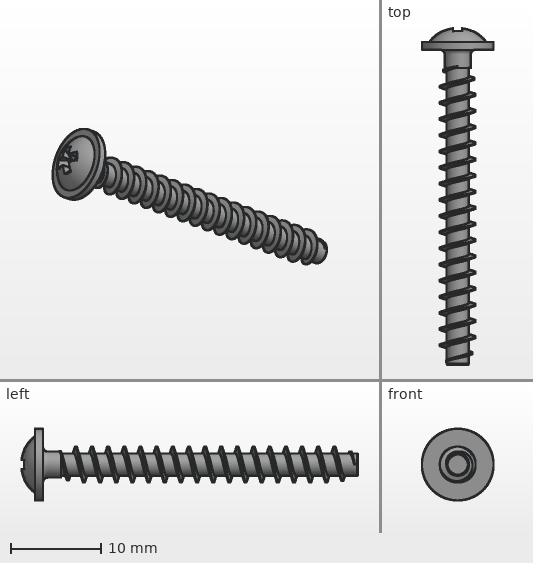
import math

import cadquery as cq


washer_diameter = 8.0
washer_thickness = 0.9
washer_edge_radius = 0.1
dome_base_diameter = 6.3
head_height = 2.47

recess_width = 1.0
recess_mouth_radius = 1.9
recess_floor_radius = 0.6
recess_depth = 1.6

screw_length = 35.0
neck_diameter = 2.92
neck_length = 2.0
neck_fillet = 0.5
core_diameter = 2.5
tip_diameter = 2.25
tip_length = 0.15

thread_diameter = 4.0
pitch = 1.795
crest_width = 0.08
flank_half_angle = math.radians(15)
thread_start = 1.85
root_radius = core_diameter / 2 - 0.15
lead_in_radius = 1.5
lead_in_turns = 1
full_turns = 16.25
run_out_turns = 1
run_out_radius = 1.3
points_per_turn = 16


def make_head():
    """Washer with a spherical dome on top."""
    washer = cq.Workplane("XZ").circle(washer_diameter / 2).extrude(-washer_thickness)
    washer = washer.edges("<Y").fillet(washer_edge_radius)

    base_radius = dome_base_diameter / 2
    rise = head_height - washer_thickness
    sphere_radius = (base_radius**2 + rise**2) / (2 * rise)
    mid_radius = base_radius / 2
    mid_height = head_height - sphere_radius + math.sqrt(sphere_radius**2 - mid_radius**2)
    dome = (
        cq.Workplane("XY")
        .moveTo(0, washer_thickness / 2)
        .lineTo(base_radius, washer_thickness / 2)
        .lineTo(base_radius, washer_thickness)
        .threePointArc((mid_radius, mid_height), (0, head_height))
        .close()
        .revolve(360, (0, 0, 0), (0, 1, 0))
    )
    return washer.union(dome)


def make_recess():
    """Cross of two slots whose outer ends taper inwards with depth."""
    floor = head_height - recess_depth
    slot_length = 2 * recess_mouth_radius
    bar = cq.Workplane("XY").box(slot_length, recess_depth, recess_width)
    cross = bar.union(bar.rotate((0, 0, 0), (0, 1, 0), 90))
    cross = cross.translate((0, floor + recess_depth / 2, 0))
    taper = (
        cq.Workplane("XY")
        .moveTo(0, floor)
        .lineTo(recess_floor_radius, floor)
        .lineTo(recess_mouth_radius, head_height)
        .lineTo(0, head_height)
        .close()
        .revolve(360, (0, 0, 0), (0, 1, 0))
    )
    return cross.intersect(taper)


def make_shank():
    """Neck with a fillet under the head, threaded core and tapered tip."""
    neck_radius = neck_diameter / 2
    core_radius = core_diameter / 2
    arc_offset = neck_fillet * (1 - math.sqrt(0.5))
    return (
        cq.Workplane("XY")
        .moveTo(0, washer_thickness / 2)
        .lineTo(neck_radius + neck_fillet, washer_thickness / 2)
        .lineTo(neck_radius + neck_fillet, 0)
        .threePointArc((neck_radius + arc_offset, -arc_offset), (neck_radius, -neck_fillet))
        .lineTo(neck_radius, -neck_length)
        .lineTo(core_radius, -neck_length)
        .lineTo(core_radius, tip_length - screw_length)
        .lineTo(tip_diameter / 2, -screw_length)
        .lineTo(0, -screw_length)
        .close()
        .revolve(360, (0, 0, 0), (0, 1, 0))
    )


def thread_corners(turn, crest_radius):
    """Four corners of the thread section after the given number of turns."""
    angle = 2 * math.pi * turn
    centre = -thread_start - pitch * turn
    crest_half = crest_width / 2
    root_half = crest_half + (crest_radius - root_radius) * math.tan(flank_half_angle)
    section = [
        (root_radius, root_half),
        (crest_radius, crest_half),
        (crest_radius, -crest_half),
        (root_radius, -root_half),
    ]
    return [
        cq.Vector(-radius * math.sin(angle), centre + offset, radius * math.cos(angle))
        for radius, offset in section
    ]


def thread_span_faces(first_turn, turns, first_radius, last_radius):
    """Four helical faces of a stretch whose crest radius changes evenly."""
    steps = math.ceil(turns * points_per_turn)
    sections = []
    for step in range(steps + 1):
        fraction = step / steps
        crest_radius = first_radius + (last_radius - first_radius) * fraction
        sections.append(thread_corners(first_turn + turns * fraction, crest_radius))
    edges = [cq.Edge.makeSpline(list(path)) for path in zip(*sections)]
    return [cq.Face.makeRuledSurface(edges[i - 1], edges[i]) for i in range(len(edges))]


def make_thread():
    """Closed thread ridge: lead-in, full turns and run-out, capped at both ends."""
    full_radius = thread_diameter / 2
    spans = [
        (lead_in_turns, lead_in_radius, full_radius),
        (full_turns, full_radius, full_radius),
        (run_out_turns, full_radius, run_out_radius),
    ]
    faces = []
    turn = 0
    for turns, first_radius, last_radius in spans:
        faces += thread_span_faces(turn, turns, first_radius, last_radius)
        turn += turns
    for cap_turn, cap_radius in [(0, lead_in_radius), (turn, run_out_radius)]:
        outline = cq.Wire.makePolygon(thread_corners(cap_turn, cap_radius), close=True)
        faces.append(cq.Face.makeFromWires(outline))
    solid = cq.Solid.makeSolid(cq.Shell.makeShell(faces))
    return cq.Workplane(solid.fix())


head = make_head().cut(make_recess())
result = make_shank().union(make_thread()).union(head)